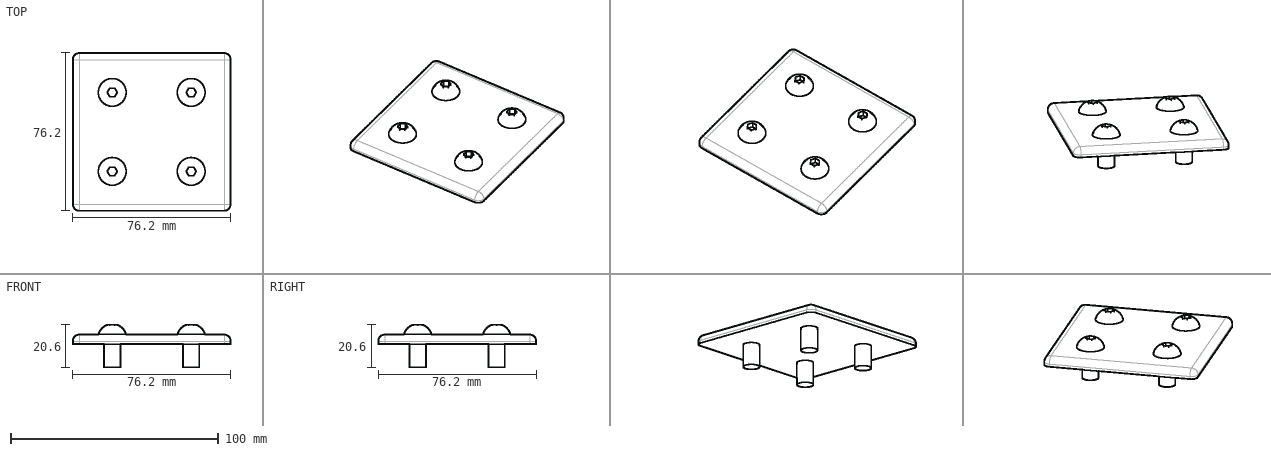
import cadquery as cq
import math

PLATE_SIDE = 76.2
PLATE_THICKNESS = 4.7
EDGE_RADIUS = 3.2

BOLT_SPACING = PLATE_SIDE / 2
SHANK_DIAMETER = 8.0
SHANK_PROTRUSION = 11.1
HEAD_DIAMETER = 13.4
HEAD_HEIGHT = 4.8
SOCKET_CORNERS = 4.8
SOCKET_DEPTH = 3.05

BOLT_CENTRES = [
    (x, y)
    for x in (-BOLT_SPACING / 2, BOLT_SPACING / 2)
    for y in (-BOLT_SPACING / 2, BOLT_SPACING / 2)
]

HEAD_RADIUS = HEAD_DIAMETER / 2
RIM_RADIUS = SOCKET_CORNERS / 2 * math.cos(math.pi / 6)
CENTRE_DROP = (HEAD_RADIUS**2 - RIM_RADIUS**2 - HEAD_HEIGHT**2) / (2 * HEAD_HEIGHT)
DOME_RADIUS = math.hypot(HEAD_RADIUS, CENTRE_DROP)
DOME_HEIGHT = DOME_RADIUS - CENTRE_DROP


def make_plate():
    """Square plate with rounded corners and top edge, and a hole for each bolt."""
    plate = cq.Workplane("XY").box(
        PLATE_SIDE, PLATE_SIDE, PLATE_THICKNESS, centered=(True, True, False)
    )
    plate = plate.edges("|Z or >Z").fillet(EDGE_RADIUS)
    holes = (
        cq.Workplane("XY")
        .pushPoints(BOLT_CENTRES)
        .circle(SHANK_DIAMETER / 2)
        .extrude(PLATE_THICKNESS)
    )
    return plate.cut(holes)


def make_bolt(x, y):
    """Dome-headed bolt with a hexagonal socket, seated on the plate at (x, y)."""
    shank = (
        cq.Workplane("XY")
        .workplane(offset=-SHANK_PROTRUSION)
        .circle(SHANK_DIAMETER / 2)
        .extrude(SHANK_PROTRUSION + PLATE_THICKNESS)
    )
    seat_above_centre = math.asin(CENTRE_DROP / DOME_RADIUS)
    arc_middle = (seat_above_centre + math.pi / 2) / 2
    head = (
        cq.Workplane("XZ")
        .lineTo(HEAD_RADIUS, 0)
        .threePointArc(
            (DOME_RADIUS * math.cos(arc_middle), DOME_RADIUS * math.sin(arc_middle) - CENTRE_DROP),
            (0, DOME_HEIGHT),
        )
        .close()
        .revolve(360, (0, 0, 0), (0, 1, 0))
        .translate((0, 0, PLATE_THICKNESS))
    )
    socket = (
        cq.Workplane("XY")
        .workplane(offset=PLATE_THICKNESS + HEAD_HEIGHT - SOCKET_DEPTH)
        .polygon(6, SOCKET_CORNERS)
        .extrude(SOCKET_DEPTH + DOME_HEIGHT - HEAD_HEIGHT)
    )
    return shank.union(head).cut(socket).translate((x, y, 0))


plate = make_plate()
bolts = [make_bolt(x, y) for x, y in BOLT_CENTRES]

result = cq.Compound.makeCompound([plate.val(), *[bolt.val().Solids()[0] for bolt in bolts]])